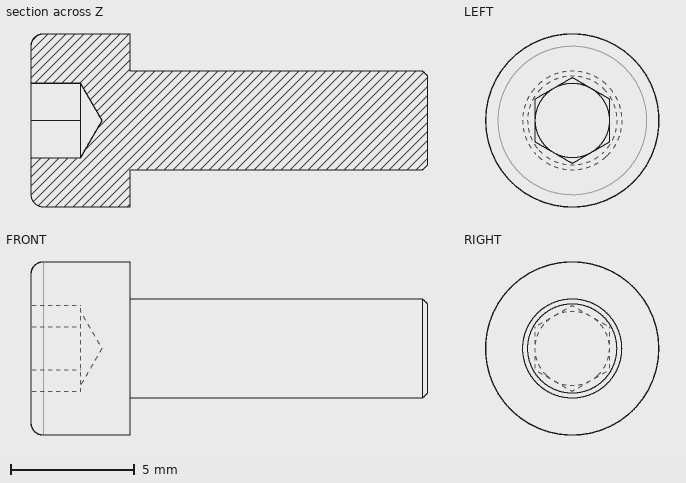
import cadquery as cq
import math

SHANK_DIAMETER = 4.0
SHANK_LENGTH = 12.0
TIP_CHAMFER = 0.2

HEAD_DIAMETER = 7.0
HEAD_HEIGHT = SHANK_DIAMETER
HEAD_FILLET = 0.5

SOCKET_ACROSS_FLATS = 3.0
SOCKET_DEPTH = 2.0
SOCKET_POINT_ANGLE = 120.0

HEAD_FACE_X = -HEAD_HEIGHT


def make_head():
    """Cylindrical head with a rounded outer rim."""
    head = cq.Workplane("YZ", origin=(HEAD_FACE_X, 0, 0)).circle(HEAD_DIAMETER / 2).extrude(HEAD_HEIGHT)
    return head.faces("<X").edges().fillet(HEAD_FILLET)


def make_shank():
    """Plain shank with a chamfered tip."""
    shank = cq.Workplane("YZ").circle(SHANK_DIAMETER / 2).extrude(SHANK_LENGTH)
    return shank.faces(">X").edges().chamfer(TIP_CHAMFER)


def make_socket():
    """Hexagonal socket, corners pointing along Z, with a conical floor."""
    across_corners = SOCKET_ACROSS_FLATS / math.cos(math.pi / 6)
    hexagon = (
        cq.Workplane("YZ", origin=(HEAD_FACE_X, 0, 0))
        .transformed(rotate=(0, 0, 90))
        .polygon(6, across_corners)
        .extrude(SOCKET_DEPTH)
    )
    cone_radius = SOCKET_ACROSS_FLATS / 2
    cone_height = cone_radius / math.tan(math.radians(SOCKET_POINT_ANGLE / 2))
    floor_x = HEAD_FACE_X + SOCKET_DEPTH
    cone = cq.Solid.makeCone(cone_radius, 0, cone_height, cq.Vector(floor_x, 0, 0), cq.Vector(1, 0, 0))
    return hexagon.union(cq.Workplane(cone))


result = make_head().union(make_shank()).cut(make_socket())